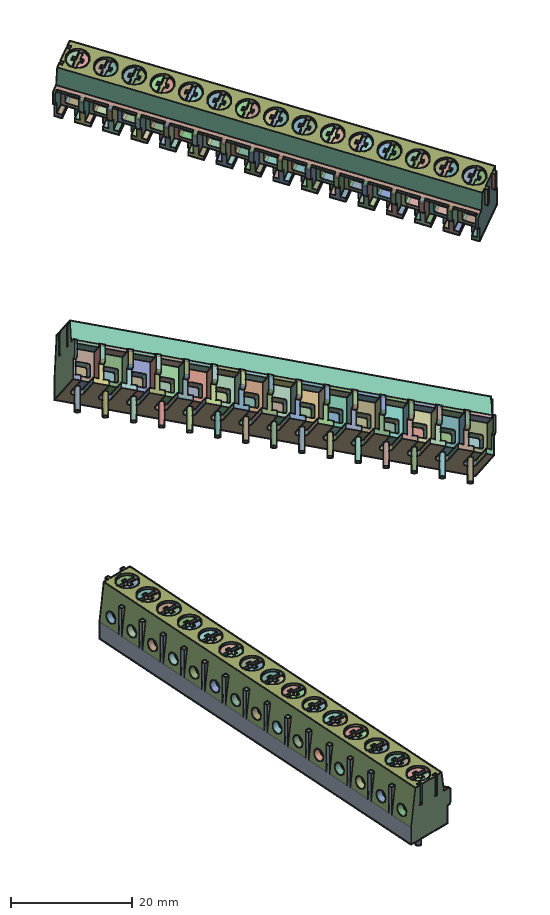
import cadquery as cq


total_length = 75.6
rail_length = 0.6
pole_count = 15
housing_length = total_length - rail_length
pitch = housing_length / pole_count
pole_centres = [(i + 0.5) * pitch for i in range(pole_count)]
inner_boundaries = [i * pitch for i in range(1, pole_count)]
all_boundaries = [0.0] + inner_boundaries + [housing_length]

housing_height = 11.5
rear_y = 4.0
front_y = -4.3
fin_front_y = -5.0
top_rear_y = 3.0
top_front_y = -2.95
ledge_back_y = -3.5
ledge_z = 7.3
rear_taper_start_z = 3.6

wall_thickness = 0.9
cell_width = pitch - wall_thickness
cell_back_y = -2.4
cell_floor_z = 1.0
cell_roof_z = 6.7
fin_bottom_z = 3.7
fin_radius = 0.6

wire_entry_size = 2.6
wire_entry_corner = 0.4
wire_entry_z = 3.1
wire_entry_depth = 1.5

rib_width = 0.75
rib_top_z = 9.45
test_hole_diameter = 2.2
test_hole_z = 5.75
test_hole_depth = 1.5

bore_diameter = 4.0
bore_depth = 1.5
head_diameter = 3.8
head_recess = 0.4
slot_width = 0.75
slot_depth = 0.6
cross_length = 2.0

pin_diameter = 1.0
pin_length = 3.5
pin_clearance = 2.2

rail_offset = 1.75
rail_neck = 0.45
rail_tip = 0.75
rail_height = 4.2


def block(x, y, z):
    """Box spanning the given (low, high) ranges."""
    size = (x[1] - x[0], y[1] - y[0], z[1] - z[0])
    return cq.Workplane("XY").box(*size, centered=False).translate((x[0], y[0], z[0]))


def span(centre, width):
    """(low, high) range of a width about its centre."""
    return (centre - width / 2, centre + width / 2)


def cylinders(diameter, bottom_z, height):
    """One vertical cylinder on every pole centre."""
    centres = [(x, 0) for x in pole_centres]
    start = cq.Workplane("XY", origin=(0, 0, bottom_z)).pushPoints(centres)
    return start.circle(diameter / 2).extrude(height)


def housing():
    """Plain housing: tapered front and rear, with a ledge above the cells."""
    outline = [
        (rear_y, 0),
        (rear_y, rear_taper_start_z),
        (top_rear_y, housing_height),
        (top_front_y, housing_height),
        (ledge_back_y, ledge_z),
        (front_y, ledge_z),
        (front_y, 0),
    ]
    return cq.Workplane("YZ").polyline(outline).close().extrude(housing_length)


def fins():
    """Rounded noses on the front of the walls; the end walls are half as thick."""
    noses = cq.Workplane("XY")
    for x in all_boundaries:
        start = max(x - wall_thickness / 2, 0)
        end = min(x + wall_thickness / 2, housing_length)
        nose = block((start, end), (fin_front_y, front_y), (fin_bottom_z, ledge_z))
        noses = noses.add(nose.edges("|X and <Y").fillet(fin_radius))
    return noses.combine()


def rear_ribs():
    ribs = cq.Workplane("XY")
    for x in inner_boundaries:
        ribs = ribs.add(block(span(x, rib_width), (top_front_y, rear_y), (0, rib_top_z)))
    return ribs.combine()


def front_cells():
    """Open cells, each with a wire entry in its back wall and a pin slot through its floor."""
    cuts = cq.Workplane("XY")
    for x in pole_centres:
        cell = block(span(x, cell_width), (front_y, cell_back_y), (cell_floor_z, cell_roof_z))
        entry = (
            cq.Workplane("XY")
            .box(wire_entry_size, wire_entry_depth, wire_entry_size, centered=(True, False, True))
            .edges("|Y")
            .fillet(wire_entry_corner)
            .translate((x, cell_back_y, wire_entry_z))
        )
        slot = block(span(x, pin_clearance), (front_y, 0), (0, cell_floor_z))
        cuts = cuts.add(cell).add(entry).add(slot)
    return cuts.combine().union(cylinders(pin_clearance, 0, cell_floor_z))


def test_holes():
    centres = [(x, test_hole_z) for x in pole_centres]
    start = cq.Workplane("XZ", origin=(0, rear_y, 0)).pushPoints(centres)
    return start.circle(test_hole_diameter / 2).extrude(test_hole_depth)


def screw_heads():
    """Heads with a full-width slot and a short cross arm, standing in the bores."""
    head_top = housing_height - head_recess
    heads = cylinders(head_diameter, housing_height - bore_depth, bore_depth - head_recess)
    slot_z = (head_top - slot_depth, head_top)
    for x in pole_centres:
        slot = block(span(x, slot_width), span(0, head_diameter), slot_z)
        cross = block(span(x, cross_length), span(0, slot_width), slot_z)
        heads = heads.cut(slot).cut(cross)
    return heads


def dovetails(x_start):
    """Pair of vertical dovetails that widen towards +X."""
    pair = cq.Workplane("XY")
    for y in (-rail_offset, rail_offset):
        outline = [
            (x_start, y - rail_neck / 2),
            (x_start + rail_length, y - rail_tip / 2),
            (x_start + rail_length, y + rail_tip / 2),
            (x_start, y + rail_neck / 2),
        ]
        base = cq.Workplane("XY", origin=(0, 0, housing_height - rail_height))
        pair = pair.add(base.polyline(outline).close().extrude(rail_height))
    return pair.combine()


body = housing().union(fins()).union(rear_ribs())
body = body.cut(front_cells()).cut(test_holes())
body = body.cut(cylinders(bore_diameter, housing_height - bore_depth, bore_depth))
body = body.union(screw_heads())
body = body.union(cylinders(pin_diameter, -pin_length, pin_length + cell_floor_z))
result = body.cut(dovetails(0)).union(dovetails(housing_length))